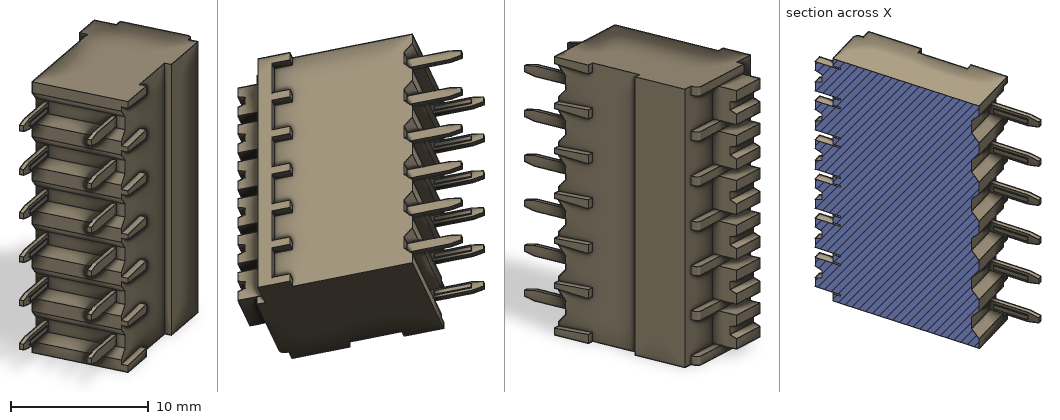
import cadquery as cq

poles = 6
height = 21.7
wall = 0.7
pitch = (height - wall) / poles
wall_centers = [-height / 2 + wall / 2 + i * pitch for i in range(poles + 1)]
pole_centers = [z + pitch / 2 for z in wall_centers[:-1]]

width = 8.4
core_left = 0.63
core_right = width - 0.55
shoulder_y = 11.55

rail_front_y = 10.48
tooth_front_y = 9.11

rib_tip = 0.4
rib_depth = 3.02
pad_front_y = 7.15

back_left = 1.78
back_right = 7.62
back_y = 12.17
back_corner_radius = 0.4

block_left = 1.85
block_right = 4.85
block_height = 2.65
block_back_y = 13.65
notch_depth = 0.56
notch_mouth = 1.02
notch_floor = 0.6

groove_depth = 0.63
groove_mouth = 2.43
groove_floor = 1.05

pin_height = 0.82
pin_tip_height = 0.45
pin_tip_y = -3.5
pin_taper_y = -2.6
left_pin_inner = 1.67
right_pin_inner = 6.81
pin_spans = [(1.32, left_pin_inner), (right_pin_inner, 7.16)]
bead_height = 0.35
bead_reach = 0.1
bead_start_y = 0.22


def box(x_span, y_span, z_center, z_size):
    """Box from its X and Y limits, centred on z_center."""
    x0, x1 = x_span
    y0, y1 = y_span
    return (
        cq.Workplane("XY")
        .box(x1 - x0, y1 - y0, z_size, centered=(False, False, True))
        .translate((x0, y0, z_center))
    )


def tapered_bar(x_span, z_center, sections):
    """Bar along X; sections lists (y, z height) from one end to the other."""
    x0, x1 = x_span
    upper = [(y, z_center + size / 2) for y, size in sections]
    lower = [(y, z_center - size / 2) for y, size in reversed(sections)]
    return cq.Workplane("YZ", origin=(x0, 0, 0)).polyline(upper + lower).close().extrude(x1 - x0)


def back_wall(z):
    wall_box = box((back_left, back_right), (shoulder_y, back_y), z, wall)
    return wall_box.edges("|Z and >X and >Y").fillet(back_corner_radius)


def back_block(z):
    span = (block_left, block_right)
    block = box(span, (shoulder_y, block_back_y), z, block_height)
    notch_sections = [(block_back_y - notch_depth, notch_floor), (block_back_y, notch_mouth)]
    return block.cut(tapered_bar(span, z, notch_sections))


def right_rib(z):
    return tapered_bar((core_right, width), z, [(0, rib_tip), (rib_depth, wall)])


def pin(x_span, z):
    sections = [(groove_depth, pin_height), (pin_taper_y, pin_height), (pin_tip_y, pin_tip_height)]
    return tapered_bar(x_span, z, sections)


def bead(x_start, x_end, z):
    return box((x_start, x_end), (pin_taper_y, bead_start_y), z, bead_height)


result = box((core_left, core_right), (0, shoulder_y), 0, height)
result = result.union(box((0, core_left), (rail_front_y, shoulder_y), 0, height))
result = result.union(box((core_right, width), (pad_front_y, shoulder_y), 0, height))

for z in wall_centers:
    result = result.union(box((0, core_left), (tooth_front_y, shoulder_y), z, wall))
    result = result.union(right_rib(z))
    result = result.union(back_wall(z))

end_fill = wall / 2
for side in (-1, 1):
    fill_center = side * (height - end_fill) / 2
    result = result.union(box((core_right, width), (0, rib_depth), fill_center, end_fill))

for z in pole_centers:
    groove_sections = [(0, groove_mouth), (groove_depth, groove_floor)]
    result = result.cut(tapered_bar((core_left, core_right), z, groove_sections))
    result = result.union(back_block(z))
    for x_span in pin_spans:
        result = result.union(pin(x_span, z))
    result = result.union(bead(left_pin_inner, left_pin_inner + bead_reach, z))
    result = result.union(bead(right_pin_inner - bead_reach, right_pin_inner, z))